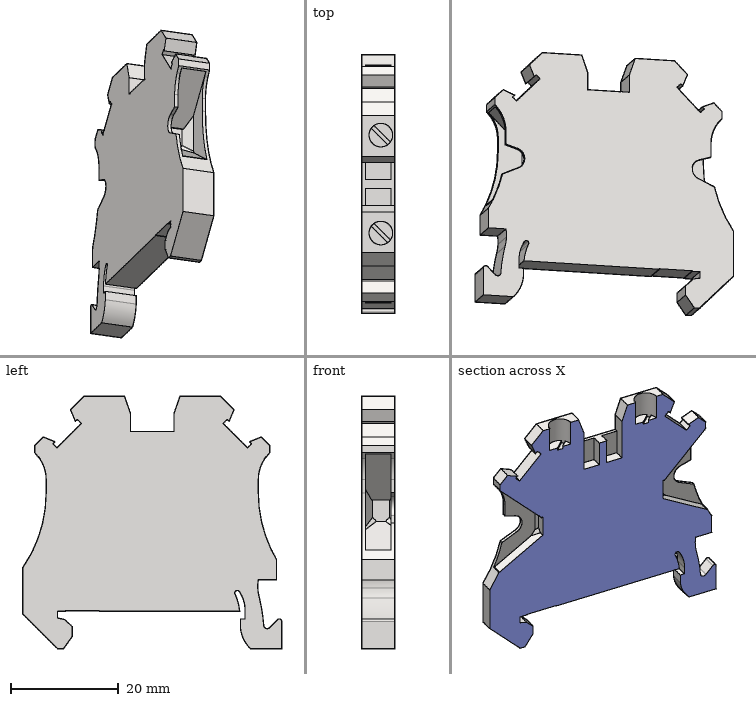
import cadquery as cq
import math

WIDTH = 6.15
HEIGHT = 46.85
HALF_LENGTH = 24.0

GAP_HALF = 4.0
GAP_FLOOR_Z = 40.3
GAP_FLARE_Z = 43.6
TOWER_INNER_Y = 5.15
TOWER_OUTER_Y = 12.65
TOWER_CHAMFER = 2.5

SEAT_TOP = (13.15, 41.8)
SEAT_DROP = 4.5
UNDERCUT = 0.7
LIP = 0.4
KNOB_Y = 21.8
KNOB_BOTTOM_Z = 36.4

WAIST_Y = 19.7
WAIST_TOP_Z = 31.45
WAIST_BOTTOM_Z = 28.9
UPPER_RADIUS = 6.7
UPPER_ARC_TOP_Z = 35.3
LOWER_RADIUS = 24.25
FOOT_SIDE_Y = 23.05

BASE_Z = 6.95
HOOK_CHAMFER = 6.5
HOOK_ROOT_Y = 17.5
RELIEF_OUTER_Y = 16.1
RELIEF_INNER_Y = 9.8
RELIEF_DEPTH = 0.1

HOOK_CATCH = [(16.45, 0), (14.8, 2.35), (14.8, 4.15), (16.2, 5.45), (HOOK_ROOT_Y, 5.75)]

SLOT_MOUTH_Y = -16.2
SLOT_BASE_SIDE = ((-15.9, 8.8), (-15.35, 10.2))
SLOT_TOP = ((-15.6, 10.8), (-16.2, 10.55))
SLOT_FOOT_SIDE = ((-16.95, 8.9), (-17.2, BASE_Z))

FOOT_STEP_Z = 5.55
HEEL_TOP = (-16.3, 3.9)
HEEL_ARC = ((-16.95, 1.75), (-18.25, 0))
TIP_ARC_BOTTOM_Z = 5.15
TIP_ARC = ((-23.7, FOOT_STEP_Z), (-23.25, 5.45))
TROUGH_START = (-21.75, 4.0)
TROUGH_ARC = ((-21.2, 3.8), (-20.7, 4.25))
LEG_ARCS = [
    ((-20.4, 6.8), (-19.85, 9.45)),
    ((-19.7, 10.35), (-19.6, 11.3)),
    ((-19.6, 12.05), (-19.7, 12.8)),
]

SHELF_Z = LEG_ARCS[-1][1][1]

WALL = 0.65
ENTRY_BACK_Y = 12.75
ENTRY_BACK_TOP_Z = 27.6
ENTRY_BACK_BOTTOM_Z = 23.65
ENTRY_ROOF_FLAT = 0.3
ENTRY_ROOF_ANGLE = 45.0
ENTRY_FLOOR_ANGLE = 30.0
ENTRY_ROOF_OUTER_Z = 36.1
ENTRY_FLOOR_OUTER_Z = 18.4
FUNNEL_LEFT_X = 2.0
FUNNEL_RIGHT_X = 5.15
FUNNEL_SIDE_ANGLE = 30.0
FUNNEL_CORNER = 0.7
FUNNEL_CORNER_END = 0.05
FUNNEL_LENGTH = 3.6

NOTCH_Y = 18.0
NOTCH_Z = 26.45
NOTCH_RADIUS = 1.9
NOTCH_ROOF_ANGLE = 17.0
NOTCH_FLOOR_ANGLE = 24.0

SCREW_X = 3.55
SCREW_Y = 9.05
SCREW_DIAMETER = 4.35
SCREW_DEPTH = 4.8
SLOT_WIDTH = 0.7
SLOT_DEPTH = 0.5
SLOT_ANGLE = -45.0
JUMPER_INNER_Y = 0.8
JUMPER_DEPTH = 4.8


def tan_deg(angle):
    return math.tan(math.radians(angle))


def arc_offset(radius, height):
    """Sideways drift of an arc at a height above or below its vertical tangent."""
    return radius - math.sqrt(radius**2 - height**2)


def lower_arc_z(y):
    """Height at which the lower flank arc reaches a distance y from the middle."""
    return WAIST_BOTTOM_Z - math.sqrt(LOWER_RADIUS**2 - (LOWER_RADIUS - (y - WAIST_Y)) ** 2)


def upper_points():
    """Corners of one tower, label seat and knob, from the gap outwards."""
    seat_bottom = (SEAT_TOP[0] + SEAT_DROP, SEAT_TOP[1] - SEAT_DROP)
    notch_top = (SEAT_TOP[0] + UNDERCUT, SEAT_TOP[1] + UNDERCUT)
    notch_bottom = (seat_bottom[0] + UNDERCUT, seat_bottom[1] + UNDERCUT)
    lip_top = (notch_top[0] + LIP, notch_top[1] - LIP)
    lip_bottom = (notch_bottom[0] - LIP, notch_bottom[1] + LIP)
    crown = (TOWER_OUTER_Y + TOWER_CHAMFER, HEIGHT - TOWER_CHAMFER)
    mirror_shift = SEAT_TOP[1] - seat_bottom[0]
    knob_crown = (crown[1] - mirror_shift, crown[0] + mirror_shift)
    return [
        (GAP_HALF, GAP_FLOOR_Z),
        (GAP_HALF, GAP_FLARE_Z),
        (TOWER_INNER_Y, HEIGHT),
        (TOWER_OUTER_Y, HEIGHT),
        crown,
        lip_top,
        notch_top,
        SEAT_TOP,
        seat_bottom,
        notch_bottom,
        lip_bottom,
        knob_crown,
        (KNOB_Y, knob_crown[0] + knob_crown[1] - KNOB_Y),
        (KNOB_Y, KNOB_BOTTOM_Z),
    ]


def flank_arc(sketch, side, radius, tangent_z, end_z, outwards):
    """Draw one flank arc between its vertical tangent and end_z, towards or away from the end."""
    middle_z = (tangent_z + end_z) / 2
    places = [
        (side * (WAIST_Y + arc_offset(radius, abs(z - tangent_z))), z)
        for z in (tangent_z, middle_z, end_z)
    ]
    if not outwards:
        places.reverse()
    return sketch.threePointArc(places[1], places[2])


def body():
    """Extruded outline, drawn from the gap over the +Y end, the underside and the -Y end."""
    shoulder = upper_points()
    upper_arc_end_y = WAIST_Y + arc_offset(UPPER_RADIUS, UPPER_ARC_TOP_Z - WAIST_TOP_Z)

    outline = cq.Workplane("YZ").polyline(shoulder)
    outline = outline.lineTo(upper_arc_end_y, UPPER_ARC_TOP_Z)
    outline = flank_arc(outline, 1, UPPER_RADIUS, WAIST_TOP_Z, UPPER_ARC_TOP_Z, False)
    outline = outline.lineTo(WAIST_Y, WAIST_BOTTOM_Z)
    outline = flank_arc(outline, 1, LOWER_RADIUS, WAIST_BOTTOM_Z, lower_arc_z(HALF_LENGTH), True)

    outline = outline.lineTo(HALF_LENGTH, HOOK_CHAMFER).lineTo(HALF_LENGTH - HOOK_CHAMFER, 0)
    for corner in HOOK_CATCH:
        outline = outline.lineTo(*corner)
    outline = outline.lineTo(HOOK_ROOT_Y, BASE_Z)

    relief_z = BASE_Z + RELIEF_DEPTH
    for corner in [
        (RELIEF_OUTER_Y, BASE_Z),
        (RELIEF_OUTER_Y, relief_z),
        (RELIEF_INNER_Y, relief_z),
        (RELIEF_INNER_Y, BASE_Z),
    ]:
        outline = outline.lineTo(*corner)

    outline = outline.lineTo(SLOT_MOUTH_Y, BASE_Z)
    for arc in (SLOT_BASE_SIDE, SLOT_TOP, SLOT_FOOT_SIDE):
        outline = outline.threePointArc(*arc)

    outline = (
        outline.lineTo(SLOT_FOOT_SIDE[1][0], FOOT_STEP_Z)
        .lineTo(HEEL_TOP[0], FOOT_STEP_Z)
        .lineTo(*HEEL_TOP)
        .threePointArc(*HEEL_ARC)
        .lineTo(-HALF_LENGTH, 0)
        .lineTo(-HALF_LENGTH, TIP_ARC_BOTTOM_Z)
        .threePointArc(*TIP_ARC)
        .lineTo(*TROUGH_START)
        .threePointArc(*TROUGH_ARC)
    )
    for arc in LEG_ARCS:
        outline = outline.threePointArc(*arc)

    outline = outline.lineTo(-FOOT_SIDE_Y, SHELF_Z).lineTo(-FOOT_SIDE_Y, lower_arc_z(FOOT_SIDE_Y))
    outline = flank_arc(outline, -1, LOWER_RADIUS, WAIST_BOTTOM_Z, lower_arc_z(FOOT_SIDE_Y), False)
    outline = outline.lineTo(-WAIST_Y, WAIST_TOP_Z)
    outline = flank_arc(outline, -1, UPPER_RADIUS, WAIST_TOP_Z, UPPER_ARC_TOP_Z, True)
    for y, z in reversed(shoulder):
        outline = outline.lineTo(-y, z)
    return outline.close().extrude(WIDTH)


def funnel_section(sketch, distance, corner):
    """Closed section of the funnel at a distance in front of its back, bottom corners cut off."""
    spread = distance * tan_deg(FUNNEL_SIDE_ANGLE)
    left = FUNNEL_LEFT_X - spread
    right = FUNNEL_RIGHT_X + spread
    bottom = ENTRY_BACK_BOTTOM_Z - distance * tan_deg(ENTRY_FLOOR_ANGLE)
    return sketch.polyline(
        [
            (left, HEIGHT),
            (left, bottom + corner),
            (left + corner, bottom),
            (right - corner, bottom),
            (right, bottom + corner),
            (right, HEIGHT),
        ]
    ).close()


def wire_entry():
    """Wire entry at the -Y end: sloped roof and floor, closing in to a funnel at its back."""
    roof_run = (ENTRY_ROOF_OUTER_Z - ENTRY_BACK_TOP_Z) / tan_deg(ENTRY_ROOF_ANGLE)
    floor_run = (ENTRY_BACK_BOTTOM_Z - ENTRY_FLOOR_OUTER_Z) / tan_deg(ENTRY_FLOOR_ANGLE)
    roof_start_y = ENTRY_BACK_Y + ENTRY_ROOF_FLAT
    space = (
        cq.Workplane("YZ")
        .workplane(offset=WALL)
        .polyline(
            [
                (-ENTRY_BACK_Y, ENTRY_BACK_BOTTOM_Z),
                (-ENTRY_BACK_Y, ENTRY_BACK_TOP_Z),
                (-roof_start_y, ENTRY_BACK_TOP_Z),
                (-roof_start_y - roof_run, ENTRY_ROOF_OUTER_Z),
                (-HALF_LENGTH, ENTRY_ROOF_OUTER_Z),
                (-HALF_LENGTH, ENTRY_FLOOR_OUTER_Z),
                (-ENTRY_BACK_Y - floor_run, ENTRY_FLOOR_OUTER_Z),
            ]
        )
        .close()
        .extrude(WIDTH - 2 * WALL)
    )
    funnel = funnel_section(
        cq.Workplane("XZ").workplane(offset=ENTRY_BACK_Y), 0, FUNNEL_CORNER
    )
    funnel = funnel_section(
        funnel.workplane(offset=FUNNEL_LENGTH), FUNNEL_LENGTH, FUNNEL_CORNER_END
    ).loft(ruled=True)
    mouth = cq.Workplane("XY").box(WIDTH, HALF_LENGTH, HEIGHT, centered=(False, False, False))
    mouth = mouth.translate((0, -ENTRY_BACK_Y - FUNNEL_LENGTH - HALF_LENGTH, 0))
    return space.intersect(funnel.union(mouth))


def notch_edge(angle):
    """Tangent point on the notch arc, and where its sloping edge passes the -Y end of the block.

    A positive angle gives the rising roof, a negative one the falling floor.
    """
    side = math.copysign(1, angle)
    slope = math.radians(abs(angle))
    start_y = -NOTCH_Y + NOTCH_RADIUS * math.sin(slope)
    start_z = NOTCH_Z + side * NOTCH_RADIUS * math.cos(slope)
    end_z = start_z + (start_y + HALF_LENGTH) * tan_deg(angle)
    return (start_y, start_z), (-HALF_LENGTH, end_z)


def wall_notch():
    """Round-ended, flaring notch through the +X wall of the -Y wire entry."""
    roof_start, roof_end = notch_edge(NOTCH_ROOF_ANGLE)
    floor_start, floor_end = notch_edge(-NOTCH_FLOOR_ANGLE)
    return (
        cq.Workplane("YZ")
        .workplane(offset=WIDTH - WALL)
        .moveTo(*roof_end)
        .lineTo(*roof_start)
        .threePointArc((-NOTCH_Y + NOTCH_RADIUS, NOTCH_Z), floor_start)
        .lineTo(*floor_end)
        .close()
        .extrude(WALL)
    )


def screw_hole(y):
    """Round well with the slot of the screw head sunk into its floor."""
    floor_z = HEIGHT - SCREW_DEPTH
    floor = cq.Workplane("XY").workplane(offset=floor_z).center(SCREW_X, y)
    well = floor.circle(SCREW_DIAMETER / 2).extrude(SCREW_DEPTH)
    head = floor.circle(SCREW_DIAMETER / 2).extrude(-SLOT_DEPTH)
    slot = floor.transformed(rotate=(0, 0, SLOT_ANGLE)).rect(SCREW_DIAMETER, SLOT_WIDTH).extrude(-SLOT_DEPTH)
    return well.union(slot.intersect(head))


def jumper_pocket(side):
    """Rectangular pocket in the floor of the central gap."""
    length = GAP_HALF - JUMPER_INNER_Y
    return (
        cq.Workplane("XY")
        .workplane(offset=GAP_FLOOR_Z)
        .center(WIDTH / 2, side * (JUMPER_INNER_Y + GAP_HALF) / 2)
        .rect(WIDTH - 2 * WALL, length)
        .extrude(-JUMPER_DEPTH)
    )


result = body()
end_cut = wire_entry().union(wall_notch())
for cut in (end_cut, end_cut.mirror("XZ")):
    result = result.cut(cut)
for side in (1, -1):
    result = result.cut(screw_hole(side * SCREW_Y))
    result = result.cut(jumper_pocket(side))